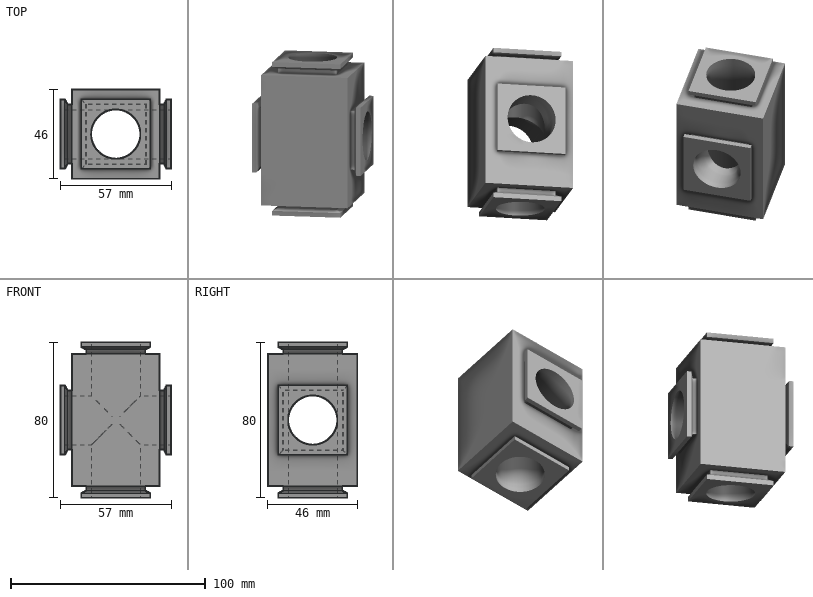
import cadquery as cq

overall_width = 57.0
overall_height = 80.0
body_width = 45.2
body_depth = 46.0
body_height = 68.0

flange_side = 35.6
flange_thickness = 2.4
neck_side = 30.4
taper_height = 1.2
taper_base_side = 31.2
bore_diameter = 25.2


def axis_plane(normal, side=1):
    """Plane through the body centre facing along the axis, or against it for side -1."""
    return cq.Plane(origin=(0, 0, 0), xDir=(0, 1, 0), normal=cq.Vector(*normal) * side)


def port(plane, tip_distance):
    """Square neck and flange running from the body centre out to the tip."""
    taper_end = tip_distance - flange_thickness
    taper_start = taper_end - taper_height
    neck = cq.Workplane(plane).rect(neck_side, neck_side).extrude(taper_start)
    taper = (
        cq.Workplane(plane)
        .workplane(offset=taper_start)
        .rect(taper_base_side, taper_base_side)
        .workplane(offset=taper_height)
        .rect(flange_side, flange_side)
        .loft(ruled=True)
    )
    flange = (
        cq.Workplane(plane)
        .workplane(offset=taper_end)
        .rect(flange_side, flange_side)
        .extrude(flange_thickness)
    )
    return neck.union(taper).union(flange)


def through_bore(plane, length):
    """Round cutter centred on the body."""
    return cq.Workplane(plane).circle(bore_diameter / 2).extrude(length / 2, both=True)


result = cq.Workplane("XY").box(body_width, body_depth, body_height)

port_axes = [((0, 0, 1), overall_height), ((1, 0, 0), overall_width)]
for normal, length in port_axes:
    for side in (1, -1):
        result = result.union(port(axis_plane(normal, side), length / 2))

for normal, length in port_axes:
    result = result.cut(through_bore(axis_plane(normal), length))